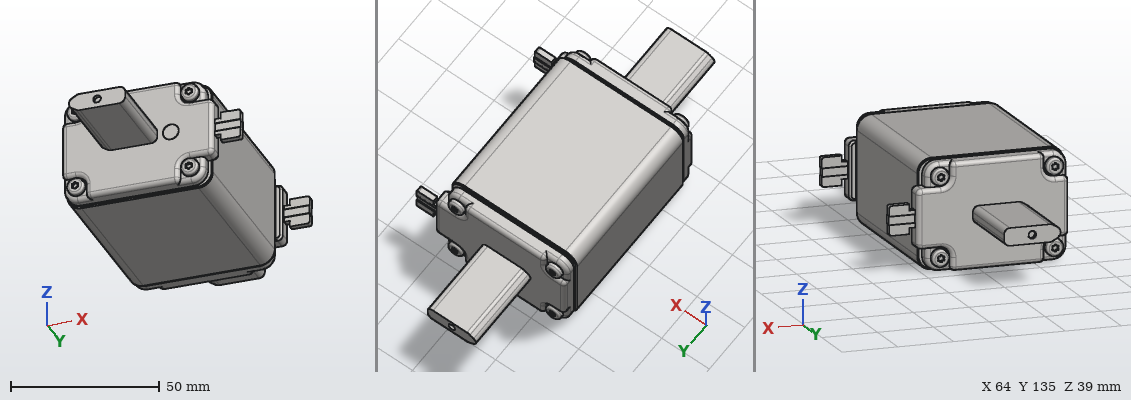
import cadquery as cq
import math

total_length = 135.0

body_width = 52.4
body_height = 39.0
body_length = 60.6
body_radius = 5.1
body_edge_chamfer = 0.4

cover_center_x = -0.4
cover_width = 50.6
cover_height = 38.1
cover_radius = 4.9
cover_face = 36.6
rim_fillet = 1.6
gasket_thickness = 0.8
gasket_inset = 1.0

pocket_depth = 1.8
pocket_radius = 3.6

tab_end = 28.6
tab_corner_radius = 1.9
tab_root = 26.3
tab_edge_chamfer = 0.8

lug_end = 37.8
lug_neck_end = 30.6
lug_neck_width = 6.1
lug_head_width = 10.4
lug_corner_radius = 0.8
lug_outer = 34.5
lug_thickness = 2.3
lug_rib_width = 3.0
lug_rib_offset = 0.4

screw_radius = 3.1
screw_top = 36.9
screw_edge_fillet = 0.8
socket_radius = 1.0
socket_lobe_radius = 0.34
socket_lobes = 6
socket_depth = 0.8

blade_left = -11.6
blade_right = 8.6
blade_thickness = 6.2
blade_corner_radius = 2.2
blade_tip_radius = 2.2
blade_bevel_angle = math.radians(30)
blade_shoulder_radius = 2.5
blade_hole_radius = 1.4
blade_hole_depth = 1.4

indicator_x = 13.5
indicator_radius = 2.8
indicator_depth = 0.1

body_end = body_length / 2
gasket_end = body_end + gasket_thickness
pocket_floor = cover_face - pocket_depth
cover_left = cover_center_x - cover_width / 2
cover_right = cover_center_x + cover_width / 2
corner_x = cover_width / 2 - cover_radius
corner_z = cover_height / 2 - cover_radius
tab_width = 2 * (corner_z - pocket_radius)
corners = [
    (cover_center_x + side_x * corner_x, side_z * corner_z)
    for side_x in (-1, 1)
    for side_z in (-1, 1)
]

raised_corners = [
    (cover_center_x + side_x * (corner_x - pocket_radius), side_z * cover_height / 2)
    for side_x in (-1, 1)
    for side_z in (-1, 1)
] + [(cover_left, side_z * tab_width / 2) for side_z in (-1, 1)]


def front_plane(distance):
    """Sketch plane at Y = -distance, extruding away from the body."""
    return cq.Workplane("XZ", origin=(0, -distance, 0))


def block(x_start, x_end, width, y_start, y_end):
    """Box centred on Z = 0, between two distances from the middle of the part."""
    return (
        front_plane(y_start)
        .center((x_start + x_end) / 2, 0)
        .rect(x_end - x_start, width)
        .extrude(y_end - y_start)
    )


def rounded_plate(width, height, radius, y_start, y_end):
    """Cover outline, rounded at its corners."""
    return (
        front_plane(y_start)
        .center(cover_center_x, 0)
        .rect(width, height)
        .extrude(y_end - y_start)
        .edges("|Y")
        .fillet(radius)
    )


def make_body():
    return (
        cq.Workplane("XZ")
        .rect(body_width, body_height)
        .extrude(body_end, both=True)
        .edges("|Y")
        .fillet(body_radius)
        .faces("<Y or >Y")
        .edges()
        .chamfer(body_edge_chamfer)
    )


def pocket_cutter(x, z):
    """Round-nosed pocket, open towards the nearest corner of the cover."""
    out_x = math.copysign(1, x - cover_center_x)
    out_z = math.copysign(1, z)
    reach = cover_radius + pocket_radius
    shift = reach / 2 - pocket_radius
    nose_edge = cq.NearestToPointSelector((x - out_x * pocket_radius, -cover_face, z - out_z * pocket_radius))
    return (
        front_plane(gasket_end)
        .center(x + out_x * shift, z + out_z * shift)
        .rect(reach, reach)
        .extrude(cover_face - gasket_end)
        .edges("|Y")
        .edges(nose_edge)
        .fillet(pocket_radius)
    )


def make_cover_plate():
    """Raised cross-shaped face with the tab, over a lower plate forming the pocket floors."""
    lower = rounded_plate(cover_width, cover_height, cover_radius, gasket_end, pocket_floor)
    lower = lower.faces("<Y").edges().fillet(rim_fillet)

    tab = block(0, tab_end, tab_width, gasket_end, cover_face)
    tab = tab.edges("|Y and >X").fillet(tab_corner_radius)
    raised = block(cover_left, cover_right, cover_height, gasket_end, cover_face).union(tab)
    for x, z in corners:
        raised = raised.cut(pocket_cutter(x, z))
    for x, z in raised_corners:
        corner_edge = cq.NearestToPointSelector((x, -(gasket_end + cover_face) / 2, z))
        raised = raised.edges("|Y").edges(corner_edge).fillet(rim_fillet)
    raised = raised.faces("<Y").edges().fillet(rim_fillet)

    lip = block(tab_root, tab_end, tab_width, body_end, pocket_floor)
    lip = lip.edges("|Y and >X").fillet(tab_corner_radius)
    lip = lip.faces(">Y").edges(">X").chamfer(tab_edge_chamfer)
    gasket = rounded_plate(
        cover_width - 2 * gasket_inset,
        cover_height - 2 * gasket_inset,
        cover_radius - gasket_inset,
        body_end,
        gasket_end,
    )
    return lower.union(raised).union(lip).union(gasket)


def make_lug():
    """T-shaped plate with a strip along its middle pressed towards the body."""
    lug_inner = lug_outer - lug_thickness
    neck = block(tab_root, lug_neck_end, lug_neck_width, lug_inner, lug_outer)
    head = block(lug_neck_end, lug_end, lug_head_width, lug_inner, lug_outer)
    head = head.edges("|Y and >X").fillet(lug_corner_radius)
    groove = block(tab_end, lug_end, lug_rib_width, lug_outer - lug_rib_offset, lug_outer)
    rib = block(tab_root, lug_end, lug_rib_width, lug_inner - lug_rib_offset, lug_inner)
    return neck.union(head).cut(groove).union(rib)


def make_screw(x, z):
    """Rounded screw head with a six-lobed socket."""
    head = (
        front_plane(gasket_end)
        .center(x, z)
        .circle(screw_radius)
        .extrude(screw_top - gasket_end)
        .faces("<Y")
        .edges()
        .fillet(screw_edge_fillet)
    )
    first_lobe_angle = 90
    full_turn = 360
    socket_floor = front_plane(screw_top - socket_depth).center(x, z)
    socket = socket_floor.circle(socket_radius).extrude(socket_depth)
    lobes = (
        socket_floor.polarArray(socket_radius, first_lobe_angle, full_turn, socket_lobes)
        .circle(socket_lobe_radius)
        .extrude(socket_depth)
    )
    return head.cut(socket).cut(lobes)


def make_blade():
    """Flat contact blade with a rounded, bevelled edge on its -X side."""
    half = blade_thickness / 2
    tip_center_x = blade_left + blade_tip_radius
    bevel_x = tip_center_x - blade_tip_radius * math.sin(blade_bevel_angle)
    bevel_z = blade_tip_radius * math.cos(blade_bevel_angle)
    shoulder_x = bevel_x + (half - bevel_z) / math.tan(blade_bevel_angle)
    shoulder_y = -(body_end + total_length / 2) / 2
    blade = (
        front_plane(body_end)
        .moveTo(shoulder_x, half)
        .lineTo(bevel_x, bevel_z)
        .threePointArc((blade_left, 0), (bevel_x, -bevel_z))
        .lineTo(shoulder_x, -half)
        .lineTo(blade_right, -half)
        .lineTo(blade_right, half)
        .close()
        .extrude(total_length / 2 - body_end)
        .edges("|Y and >X")
        .fillet(blade_corner_radius)
    )
    for side in (-1, 1):
        shoulder = cq.NearestToPointSelector((shoulder_x, shoulder_y, side * half))
        blade = blade.edges("|Y").edges(shoulder).fillet(blade_shoulder_radius)
    hole = (
        front_plane(total_length / 2 - blade_hole_depth)
        .center((blade_left + blade_right) / 2, 0)
        .circle(blade_hole_radius)
        .extrude(blade_hole_depth)
    )
    return blade.cut(hole)


def make_front_end():
    end = make_cover_plate().union(make_lug()).union(make_blade())
    for x, z in corners:
        end = end.union(make_screw(x, z))
    return end


indicator = (
    front_plane(cover_face - indicator_depth)
    .center(indicator_x, 0)
    .circle(indicator_radius)
    .extrude(indicator_depth)
)

front_end = make_front_end()
back_end = front_end.mirror("XZ")
result = make_body().union(front_end.cut(indicator)).union(back_end)